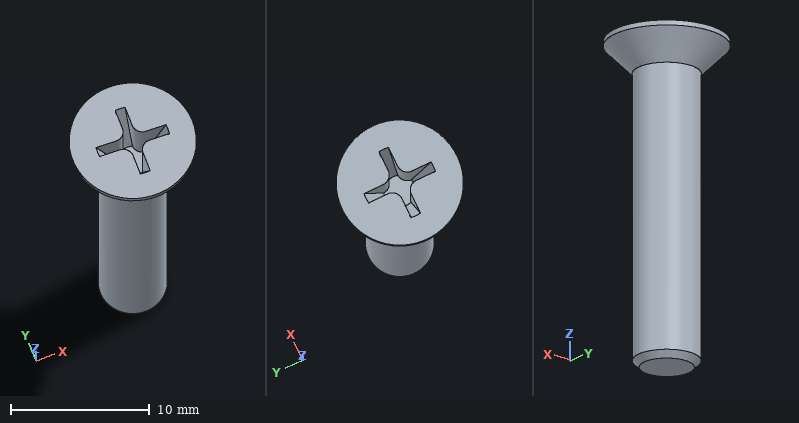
import cadquery as cq

length = 25
shank_radius = 5 / 2
head_radius = 9.2 / 2
rim_height = 0.4
cone_height = head_radius - shank_radius
tip_chamfer = 0.5

recess_depth = 3.5
recess_top_radius = 2.7
recess_floor_radius = 1.15
slot_width = 0.75
slot_corner_radius = 0.78


def screw_body():
    """Shank and countersunk head, revolved about Z with the tip at Z = 0."""
    cone_top = length - rim_height
    return (
        cq.Workplane("XZ")
        .moveTo(0, 0)
        .lineTo(shank_radius - tip_chamfer, 0)
        .lineTo(shank_radius, tip_chamfer)
        .lineTo(shank_radius, cone_top - cone_height)
        .lineTo(head_radius, cone_top)
        .lineTo(head_radius, length)
        .lineTo(0, length)
        .close()
        .revolve(360, (0, 0, 0), (0, 1, 0))
    )


def cross_recess():
    """Cross with rounded inner corners, trimmed by a cone that narrows downwards."""
    floor_z = length - recess_depth
    arm_span = 2 * head_radius
    inner_corner = slot_width / 2

    floor_plane = cq.Workplane("XY").workplane(offset=floor_z)
    arm_x = floor_plane.rect(arm_span, slot_width).extrude(recess_depth)
    arm_y = floor_plane.rect(slot_width, arm_span).extrude(recess_depth)
    cross = arm_x.union(arm_y)
    for x in (-inner_corner, inner_corner):
        for y in (-inner_corner, inner_corner):
            corner = cq.selectors.NearestToPointSelector((x, y, floor_z + recess_depth / 2))
            cross = cross.edges("|Z").edges(corner).fillet(slot_corner_radius)

    envelope = (
        floor_plane.circle(recess_floor_radius)
        .workplane(offset=recess_depth)
        .circle(recess_top_radius)
        .loft()
    )
    return cross.intersect(envelope)


result = screw_body().cut(cross_recess())